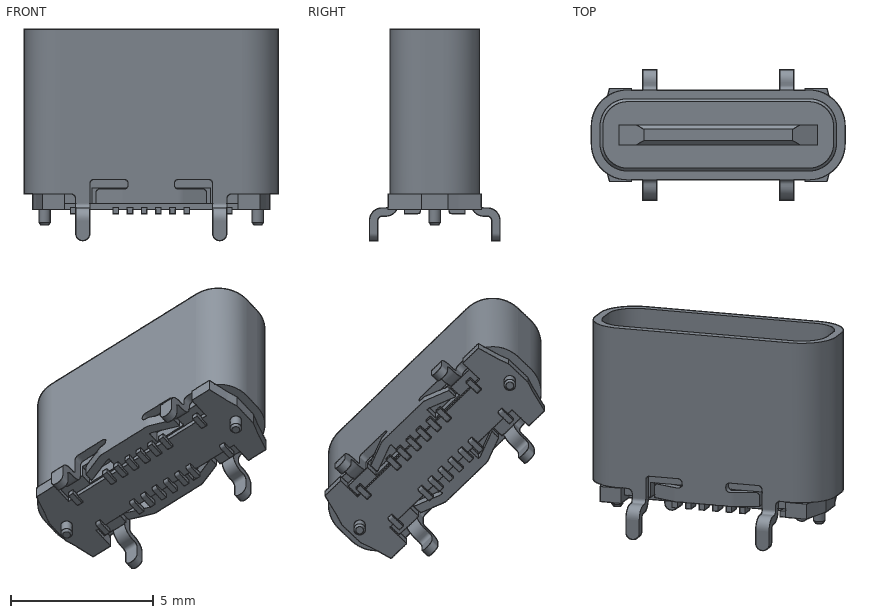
import cadquery as cq
import math

EPS = 0.01

SHELL_LENGTH = 8.94
SHELL_WIDTH = 3.16
SHELL_TOP = 6.5
SHELL_CORNER_RADIUS = 1.27
WALL = 0.31
SKIRT_BOTTOM = 0.36
END_BOTTOM = 0.70
NOTCH_RADIUS = 0.18
HALF_LENGTH = SHELL_LENGTH / 2
HALF_WIDTH = SHELL_WIDTH / 2
CAVITY_HALF_WIDTH = HALF_WIDTH - WALL

LEG_X = 2.41
LEG_WIDTH = 0.50
LEG_THICKNESS = 0.30
LEG_SPAN = 4.60
LEG_BOTTOM = -0.95
LEG_END_RADIUS = 0.499 * LEG_WIDTH
LEG_INNER_BEND = 0.15
LEG_OUTER_BEND = LEG_INNER_BEND + LEG_THICKNESS

SLOT_INNER_X = 0.81
SLOT_OUTER_X = LEG_X - LEG_WIDTH / 2
SLOT_BOTTOM = 0.87
SLOT_TOP = 1.21
SLOT_RADIUS = 0.15
TAB_ROOT_X = 0.97
TAB_TIP_X = 1.95
TAB_ANGLE = math.radians(21)
TAB_BEND_RADIUS = 0.42
TAB_CORNER_RADIUS = 0.14

HOUSING_TOP = 1.50
HOUSING_CHAMFER = 0.10
BASE_BOTTOM = 0.15
PLATE_HALF_WIDTH = 0.80
END_BLOCK_INNER_X = 3.05
END_BLOCK_CORNERS = [(3.83, 1.64), (4.04, 0.85), (4.17, 0.475)]
POCKET_INNER_X = 0.90
POCKET_OUTER_X = 2.08
POCKET_TOP = 0.90
POCKET_BACK_Y = 0.85

TONGUE_HALF_LENGTH = 3.49
TONGUE_HALF_WIDTH = 0.355
TONGUE_TOP = 6.03
TIP_HALF_LENGTH = 2.62
TIP_HALF_WIDTH = 0.20
TIP_SIDE_DROP = TONGUE_HALF_WIDTH - TIP_HALF_WIDTH
END_SLOPE_ANGLE = math.radians(30)
TIP_END_DROP = (TONGUE_HALF_LENGTH - TIP_HALF_LENGTH) * math.tan(END_SLOPE_ANGLE)

PIN_X = 3.75
PIN_DIAMETER = 0.41
PIN_BOTTOM = -0.40
PIN_TIP_CHAMFER_HEIGHT = 0.10
PIN_TIP_CHAMFER_WIDTH = 0.07

CONTACT_X = [-2.75, -1.25, -0.75, -0.25, 0.25, 0.75, 1.25, 2.75]
CONTACT_WIDTH = 0.20
CONTACT_TOP = 0.22
CONTACT_INNER_Y = 0.50
CONTACT_OUTER_Y = 1.07
CONTACT_BEND_RADIUS = 0.10


def block(x0, x1, y0, y1, z0, z1):
    """Box between two opposite corners."""
    return cq.Workplane("XY").box(x1 - x0, y1 - y0, z1 - z0, centered=False).translate((x0, y0, z0))


def rounded_prism(inset, z0, z1):
    """Shell outline moved inwards by an inset, extruded from z0 to z1."""
    return (
        cq.Workplane("XY", origin=(0, 0, z0))
        .rect(SHELL_LENGTH - 2 * inset, SHELL_WIDTH - 2 * inset)
        .extrude(z1 - z0)
        .edges("|Z")
        .fillet(SHELL_CORNER_RADIUS - inset)
    )


def on_both_ends(body):
    """The body together with its mirror image at the other X end."""
    return body.union(body.mirror("YZ"))


def on_all_quadrants(body):
    """The body repeated at both X ends and on both long sides."""
    pair = on_both_ends(body)
    return pair.union(pair.mirror("XZ"))


def end_notch():
    """Space under a rounded shell end, up to the nearest pair of legs."""
    return (
        block(LEG_X + LEG_WIDTH / 2, HALF_LENGTH + EPS, -HALF_WIDTH - EPS, HALF_WIDTH + EPS,
              SKIRT_BOTTOM - EPS, END_BOTTOM)
        .edges("|Y and >Z and <X")
        .fillet(NOTCH_RADIUS)
    )


def tab_opening():
    """Slot above a tab, joined to the opening that frees the tab and the leg beside it."""
    y0 = CAVITY_HALF_WIDTH
    y1 = HALF_WIDTH + EPS
    slot = block(SLOT_INNER_X, SLOT_OUTER_X, y0, y1, SLOT_BOTTOM, SLOT_TOP)
    slot = slot.edges("|Y and <X").fillet(SLOT_RADIUS).edges("|Y and >X and >Z").fillet(SLOT_RADIUS)
    below = block(TAB_ROOT_X, SLOT_OUTER_X, y0, y1, SKIRT_BOTTOM - EPS, SLOT_BOTTOM + EPS)
    return slot.union(below)


def tab():
    """Strip of wall curving inwards, then running straight to its tip."""
    bend_center_y = HALF_WIDTH - TAB_BEND_RADIUS
    inner_radius = TAB_BEND_RADIUS - WALL

    def on_bend(radius, angle):
        return (TAB_ROOT_X + radius * math.sin(angle), bend_center_y + radius * math.cos(angle))

    def at_tip(radius):
        x, y = on_bend(radius, TAB_ANGLE)
        return (TAB_TIP_X, y - (TAB_TIP_X - x) * math.tan(TAB_ANGLE))

    return (
        cq.Workplane("XY", origin=(0, 0, SKIRT_BOTTOM))
        .moveTo(TAB_ROOT_X - EPS, HALF_WIDTH)
        .lineTo(TAB_ROOT_X, HALF_WIDTH)
        .threePointArc(on_bend(TAB_BEND_RADIUS, TAB_ANGLE / 2), on_bend(TAB_BEND_RADIUS, TAB_ANGLE))
        .lineTo(*at_tip(TAB_BEND_RADIUS))
        .lineTo(*at_tip(inner_radius))
        .lineTo(*on_bend(inner_radius, TAB_ANGLE))
        .threePointArc(on_bend(inner_radius, TAB_ANGLE / 2), on_bend(inner_radius, 0))
        .lineTo(TAB_ROOT_X - EPS, CAVITY_HALF_WIDTH)
        .close()
        .extrude(SLOT_BOTTOM - SKIRT_BOTTOM)
        .edges(">X and >Z")
        .fillet(TAB_CORNER_RADIUS)
    )


def leg():
    """Z-bent strip running down from the wall, outwards and down into the board, with a round end."""
    outer_y = LEG_SPAN / 2
    inner_y = HALF_WIDTH - LEG_THICKNESS
    flat_top = SKIRT_BOTTOM - LEG_INNER_BEND
    flat_bottom = flat_top - LEG_THICKNESS
    lower_bend_z = flat_top - LEG_OUTER_BEND
    flat_start_y = HALF_WIDTH + LEG_INNER_BEND
    flat_end_y = outer_y - LEG_OUTER_BEND
    cos_45 = math.sqrt(0.5)

    def upper_bend_middle(radius):
        return (flat_start_y - radius * cos_45, SKIRT_BOTTOM - radius * cos_45)

    def lower_bend_middle(radius):
        return (flat_end_y + radius * cos_45, lower_bend_z + radius * cos_45)

    return (
        cq.Workplane("YZ", origin=(LEG_X - LEG_WIDTH / 2, 0, 0))
        .moveTo(inner_y, SKIRT_BOTTOM + EPS)
        .lineTo(HALF_WIDTH, SKIRT_BOTTOM + EPS)
        .lineTo(HALF_WIDTH, SKIRT_BOTTOM)
        .threePointArc(upper_bend_middle(LEG_INNER_BEND), (flat_start_y, flat_top))
        .lineTo(flat_end_y, flat_top)
        .threePointArc(lower_bend_middle(LEG_OUTER_BEND), (outer_y, lower_bend_z))
        .lineTo(outer_y, LEG_BOTTOM)
        .lineTo(outer_y - LEG_THICKNESS, LEG_BOTTOM)
        .lineTo(outer_y - LEG_THICKNESS, lower_bend_z)
        .threePointArc(lower_bend_middle(LEG_INNER_BEND), (flat_end_y, flat_bottom))
        .lineTo(flat_start_y, flat_bottom)
        .threePointArc(upper_bend_middle(LEG_OUTER_BEND), (inner_y, SKIRT_BOTTOM))
        .close()
        .extrude(LEG_WIDTH)
        .edges("|Y and <Z")
        .fillet(LEG_END_RADIUS)
    )


def shell():
    """Drawn metal tube with its end notches, tab openings, tabs and legs."""
    tube = rounded_prism(0, SKIRT_BOTTOM, SHELL_TOP)
    tube = tube.cut(rounded_prism(WALL, SKIRT_BOTTOM - EPS, SHELL_TOP + EPS))
    tube = tube.cut(on_both_ends(end_notch())).cut(on_all_quadrants(tab_opening()))
    return tube.union(on_all_quadrants(tab())).union(on_all_quadrants(leg()))


def end_block():
    """Foot under one rounded shell end, tapering in plan towards its end face."""
    far_side = [(x, -y) for x, y in reversed(END_BLOCK_CORNERS)]
    corner_y = END_BLOCK_CORNERS[0][1]
    inner_side = [(END_BLOCK_INNER_X, -corner_y), (END_BLOCK_INNER_X, corner_y)]
    outline = inner_side + END_BLOCK_CORNERS + far_side
    return (
        cq.Workplane("XY", origin=(0, 0, BASE_BOTTOM))
        .polyline(outline)
        .close()
        .extrude(END_BOTTOM - BASE_BOTTOM)
    )


def housing():
    """Plastic body filling the bottom of the shell, on a narrower plate between two end blocks."""
    body = rounded_prism(WALL, SKIRT_BOTTOM, HOUSING_TOP).faces(">Z").chamfer(HOUSING_CHAMFER)
    pocket = block(POCKET_INNER_X, POCKET_OUTER_X, POCKET_BACK_Y, CAVITY_HALF_WIDTH + EPS,
                   SKIRT_BOTTOM - EPS, POCKET_TOP)
    body = body.cut(on_all_quadrants(pocket))
    plate_end = END_BLOCK_INNER_X + EPS
    plate = block(-plate_end, plate_end, -PLATE_HALF_WIDTH, PLATE_HALF_WIDTH, BASE_BOTTOM, SKIRT_BOTTOM + EPS)
    return body.union(plate).union(on_both_ends(end_block()))


def tongue():
    """Blade standing in the shell, bevelled on both faces and sloped at both ends."""
    def bevelled_profile(plane, half_width, tip_half_width, drop, half_depth):
        return (
            cq.Workplane(plane)
            .polyline([
                (-half_width, HOUSING_TOP - EPS),
                (half_width, HOUSING_TOP - EPS),
                (half_width, TONGUE_TOP - drop),
                (tip_half_width, TONGUE_TOP),
                (-tip_half_width, TONGUE_TOP),
                (-half_width, TONGUE_TOP - drop),
            ])
            .close()
            .extrude(half_depth, both=True)
        )

    lengthwise = bevelled_profile("XZ", TONGUE_HALF_LENGTH, TIP_HALF_LENGTH, TIP_END_DROP, TONGUE_HALF_WIDTH)
    crosswise = bevelled_profile("YZ", TONGUE_HALF_WIDTH, TIP_HALF_WIDTH, TIP_SIDE_DROP, TONGUE_HALF_LENGTH)
    return lengthwise.intersect(crosswise)


def pin():
    """Locating pin with a bevelled tip, turned about its own axis."""
    radius = PIN_DIAMETER / 2
    tip_radius = radius - PIN_TIP_CHAMFER_WIDTH
    return (
        cq.Workplane("XZ")
        .polyline([
            (0, PIN_BOTTOM),
            (tip_radius, PIN_BOTTOM),
            (radius, PIN_BOTTOM + PIN_TIP_CHAMFER_HEIGHT),
            (radius, BASE_BOTTOM + EPS),
            (0, BASE_BOTTOM + EPS),
        ])
        .close()
        .revolve(360, (0, 0), (0, 1))
        .translate((PIN_X, 0, 0))
    )


def contacts():
    """Two rows of flat solder tails, rounded on the lower edge that faces inwards."""
    tail = (
        block(-CONTACT_WIDTH / 2, CONTACT_WIDTH / 2, CONTACT_INNER_Y, CONTACT_OUTER_Y, 0, CONTACT_TOP)
        .edges("|X and <Y and <Z")
        .fillet(CONTACT_BEND_RADIUS)
    )
    row = cq.Workplane("XY")
    for x in CONTACT_X:
        row = row.union(tail.translate((x, 0, 0)))
    return row.union(row.mirror("XZ"))


result = housing().union(shell()).union(tongue()).union(on_both_ends(pin())).union(contacts())